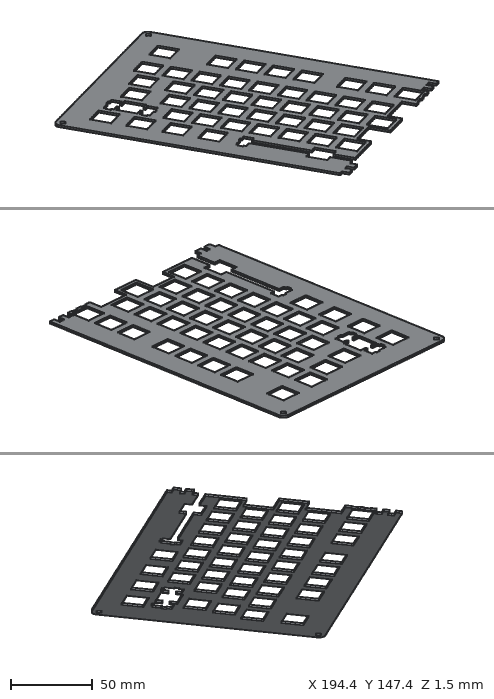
import cadquery as cq

PLATE_LENGTH = 194.41
PLATE_WIDTH = 147.4
PLATE_THICKNESS = 1.5
CORNER_RADIUS = 4.0
SCREW_HOLE_DIAMETER = 3.4
SCREW_HOLE_INSET = 4.45

KEY_UNIT = 19.05
SWITCH_OPENING = 14.0
GRID_LEFT = 13.2
NUMBER_ROW_Y = 98.1
FUNCTION_ROW_GAP = 25.4

FUNCTION_ROW_Y = NUMBER_ROW_Y + FUNCTION_ROW_GAP
TAB_ROW_Y = NUMBER_ROW_Y - KEY_UNIT
CAPS_ROW_Y = TAB_ROW_Y - KEY_UNIT
SHIFT_ROW_Y = CAPS_ROW_Y - KEY_UNIT
SPACE_ROW_Y = SHIFT_ROW_Y - KEY_UNIT

FUNCTION_GROUP_GAP = 0.51

TAB_WIDTH = 1.5
CAPS_WIDTH = 1.75
SHIFT_WIDTH = 2.25
MODIFIER_WIDTH = 1.25
MODIFIER_COUNT = 4
SPACE_BAR_WIDTH = 6.25

PLAIN = (0, 1)
FUNCTION_ROW = [PLAIN, (1, 1)] + 3 * [PLAIN] + [(FUNCTION_GROUP_GAP, 1)] + 2 * [PLAIN]
NUMBER_ROW = 9 * [PLAIN]
TAB_ROW = [(0, TAB_WIDTH)] + 8 * [PLAIN]
CAPS_ROW = [(0, CAPS_WIDTH)] + 7 * [PLAIN]
SHIFT_ROW = [(0, SHIFT_WIDTH)] + 7 * [PLAIN]
SPACE_ROW = MODIFIER_COUNT * [(0, MODIFIER_WIDTH)] + [(0, SPACE_BAR_WIDTH)]

SHIFT_KEY_X = GRID_LEFT + SHIFT_WIDTH / 2 * KEY_UNIT
SPACE_KEY_X = GRID_LEFT + (MODIFIER_COUNT * MODIFIER_WIDTH + SPACE_BAR_WIDTH / 2) * KEY_UNIT

SHIFT_STABILIZER_REACH = 11.9
SPACE_STABILIZER_REACH = 50.0
STABILIZER_WIDTH = 6.65
STABILIZER_TOP = 5.53
STABILIZER_BOTTOM = -6.77
FOOT_WIDTH = 3.3
FOOT_BOTTOM = -7.97
SIDE_NOTCH_DEPTH = 0.9
SIDE_NOTCH_TOP = 2.3
SIDE_NOTCH_BOTTOM = -0.5
WIRE_SLOT_HALF_WIDTH = 2.3

TOOTH_DEPTH = KEY_UNIT / 4
TOOTH_PITCH = 8.0
UPPER_TOOTH_WIDTH = 3.9
UPPER_GAP_COUNT = 4
DEEP_GAP_COUNT = 2
SHALLOW_GAP_DEPTH = 0.7
LOWER_TOOTH_WIDTH = 5.0
LOWER_TOOTH_COUNT = 2
LOWER_TOOTH_START = 2.9
FUNCTION_STEP_Y = 111.4

NUMBER_EDGE_X = PLATE_LENGTH - KEY_UNIT / 2
CAPS_EDGE_X = PLATE_LENGTH - KEY_UNIT * 3 / 4
SHIFT_EDGE_X = PLATE_LENGTH - TOOTH_DEPTH


def block(left, right, bottom, top):
    """Solid of full plate thickness over the given rectangle."""
    return (
        cq.Workplane("XY")
        .box(right - left, top - bottom, PLATE_THICKNESS, centered=False)
        .translate((left, bottom, 0))
    )


def plate_blank():
    plate = block(0, PLATE_LENGTH, 0, PLATE_WIDTH)
    return plate.edges("|Z and <X").fillet(CORNER_RADIUS)


def cut_right_edge(plate):
    half = KEY_UNIT / 2
    plate = plate.cut(block(NUMBER_EDGE_X, PLATE_LENGTH, NUMBER_ROW_Y - half, FUNCTION_STEP_Y))
    plate = plate.cut(block(CAPS_EDGE_X, PLATE_LENGTH, CAPS_ROW_Y - half, CAPS_ROW_Y + half))
    plate = plate.cut(block(SHIFT_EDGE_X, PLATE_LENGTH, 0, SHIFT_ROW_Y + half))
    for index in range(UPPER_GAP_COUNT):
        depth = TOOTH_DEPTH if index < DEEP_GAP_COUNT else SHALLOW_GAP_DEPTH
        gap_top = PLATE_WIDTH - UPPER_TOOTH_WIDTH - index * TOOTH_PITCH
        gap_bottom = PLATE_WIDTH - (index + 1) * TOOTH_PITCH
        plate = plate.cut(block(PLATE_LENGTH - depth, PLATE_LENGTH, gap_bottom, gap_top))
    for index in range(LOWER_TOOTH_COUNT):
        tooth_bottom = LOWER_TOOTH_START + index * TOOTH_PITCH
        tooth_top = tooth_bottom + LOWER_TOOTH_WIDTH
        plate = plate.union(block(SHIFT_EDGE_X, PLATE_LENGTH, tooth_bottom, tooth_top))
    return plate


def cut_key_row(plate, row, row_y):
    half = SWITCH_OPENING / 2
    key_left = GRID_LEFT
    for gap, width in row:
        key_left += gap * KEY_UNIT
        x = key_left + width * KEY_UNIT / 2
        plate = plate.cut(block(x - half, x + half, row_y - half, row_y + half))
        key_left += width * KEY_UNIT
    return plate


def cut_stabilizer(plate, key_x, key_y, reach, side):
    """Stabilizer opening on the left (side = -1) or right (side = 1) of a key."""
    x = key_x + side * reach
    half = STABILIZER_WIDTH / 2
    notch_x = x + side * (half + SIDE_NOTCH_DEPTH)
    foot = FOOT_WIDTH / 2
    plate = plate.cut(block(x - half, x + half, key_y + STABILIZER_BOTTOM, key_y + STABILIZER_TOP))
    plate = plate.cut(block(x - foot, x + foot, key_y + FOOT_BOTTOM, key_y))
    return plate.cut(
        block(min(x, notch_x), max(x, notch_x), key_y + SIDE_NOTCH_BOTTOM, key_y + SIDE_NOTCH_TOP)
    )


def cut_shift_stabilizers(plate):
    for side in (-1, 1):
        plate = cut_stabilizer(plate, SHIFT_KEY_X, SHIFT_ROW_Y, SHIFT_STABILIZER_REACH, side)
    return plate.cut(
        block(
            SHIFT_KEY_X - SHIFT_STABILIZER_REACH,
            SHIFT_KEY_X + SHIFT_STABILIZER_REACH,
            SHIFT_ROW_Y - WIRE_SLOT_HALF_WIDTH,
            SHIFT_ROW_Y + WIRE_SLOT_HALF_WIDTH,
        )
    )


def cut_space_stabilizer(plate):
    """Left stabilizer of the space bar, with a wire slot open at the right edge."""
    plate = cut_stabilizer(plate, SPACE_KEY_X, SPACE_ROW_Y, SPACE_STABILIZER_REACH, -1)
    return plate.cut(
        block(
            SPACE_KEY_X - SPACE_STABILIZER_REACH,
            PLATE_LENGTH,
            SPACE_ROW_Y - WIRE_SLOT_HALF_WIDTH,
            SPACE_ROW_Y + WIRE_SLOT_HALF_WIDTH,
        )
    )


def cut_screw_holes(plate):
    hole_centres = [
        (SCREW_HOLE_INSET, SCREW_HOLE_INSET),
        (SCREW_HOLE_INSET, PLATE_WIDTH - SCREW_HOLE_INSET),
    ]
    holes = (
        cq.Workplane("XY")
        .pushPoints(hole_centres)
        .circle(SCREW_HOLE_DIAMETER / 2)
        .extrude(PLATE_THICKNESS)
    )
    return plate.cut(holes)


KEY_ROWS = [
    (FUNCTION_ROW, FUNCTION_ROW_Y),
    (NUMBER_ROW, NUMBER_ROW_Y),
    (TAB_ROW, TAB_ROW_Y),
    (CAPS_ROW, CAPS_ROW_Y),
    (SHIFT_ROW, SHIFT_ROW_Y),
    (SPACE_ROW, SPACE_ROW_Y),
]

plate = cut_right_edge(plate_blank())
for key_row, key_row_y in KEY_ROWS:
    plate = cut_key_row(plate, key_row, key_row_y)
plate = cut_shift_stabilizers(plate)
plate = cut_space_stabilizer(plate)
plate = cut_screw_holes(plate)

result = plate